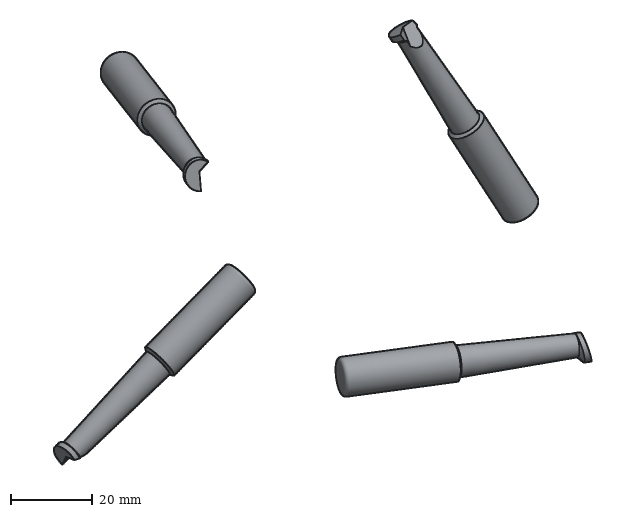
import cadquery as cq
import math

total_length = 64.0
shank_radius = 5.0
shank_length = 30.0
rear_fillet = 1.0
shoulder_length = 0.6
neck_start_radius = 4.03
neck_end_radius = 3.0
neck_end = 60.5

head_radius = 3.8
head_center_z = neck_end_radius - head_radius
head_bottom_z = head_center_z - head_radius
flare_angle = 45.0
front_face_angle = 15.0
front_face_top = total_length - 2 * head_radius * math.tan(math.radians(front_face_angle))

flute_front = 62.5
flute_floor_roll = 45.0
flute_runout_angle = 30.0

flare_overlap = 5.0


def make_shank_and_neck():
    """Revolved shank, shoulder and tapered neck."""
    arc_offset = rear_fillet * (1 - math.sqrt(0.5))
    shoulder_start = shank_length - shoulder_length
    return (
        cq.Workplane("XZ")
        .lineTo(0, shank_radius - rear_fillet)
        .threePointArc((arc_offset, shank_radius - arc_offset), (rear_fillet, shank_radius))
        .lineTo(shoulder_start, shank_radius)
        .lineTo(shank_length, neck_start_radius)
        .lineTo(neck_end, neck_end_radius)
        .lineTo(neck_end, 0)
        .close()
        .revolve(360, (0, 0, 0), (1, 0, 0))
    )


def make_head():
    """Off-centre disc bounded by a conical flare behind and a slanted face in front."""
    flare_radius = -head_bottom_z + flare_overlap
    flare_length = (flare_radius - neck_end_radius) * math.tan(math.radians(flare_angle))
    flare_end = neck_end + flare_length
    flare = (
        cq.Workplane("XZ")
        .moveTo(neck_end, 0)
        .lineTo(neck_end, neck_end_radius)
        .lineTo(flare_end, flare_radius)
        .lineTo(flare_end, 0)
        .close()
        .revolve(360, (0, 0, 0), (1, 0, 0))
    )
    side_profile = (
        cq.Workplane("XZ")
        .moveTo(neck_end, neck_end_radius)
        .lineTo(front_face_top, neck_end_radius)
        .lineTo(total_length, head_bottom_z)
        .lineTo(neck_end, head_bottom_z)
        .close()
        .extrude(head_radius, both=True)
    )
    disc = (
        cq.Workplane("YZ", origin=(neck_end, 0, head_center_z))
        .circle(head_radius)
        .extrude(total_length - neck_end)
    )
    return disc.intersect(side_profile).intersect(flare)


def make_flute_cutter():
    """Space on the +Y side of the wall and outside the sloping floor."""
    reach = 2 * shank_radius
    floor_block = (
        cq.Workplane("XY")
        .box(2 * reach, 2 * reach, reach, centered=(True, True, False))
        .rotate((0, 0, 0), (0, 1, 0), flute_runout_angle)
        .rotate((0, 0, 0), (1, 0, 0), -90 - flute_floor_roll)
        .translate((flute_front, 0, 0))
    )
    wall_side = (
        cq.Workplane("XY")
        .box(2 * reach, reach, 2 * reach, centered=(True, False, True))
        .translate((flute_front, 0, 0))
    )
    return floor_block.intersect(wall_side)


result = make_shank_and_neck().union(make_head()).cut(make_flute_cutter())